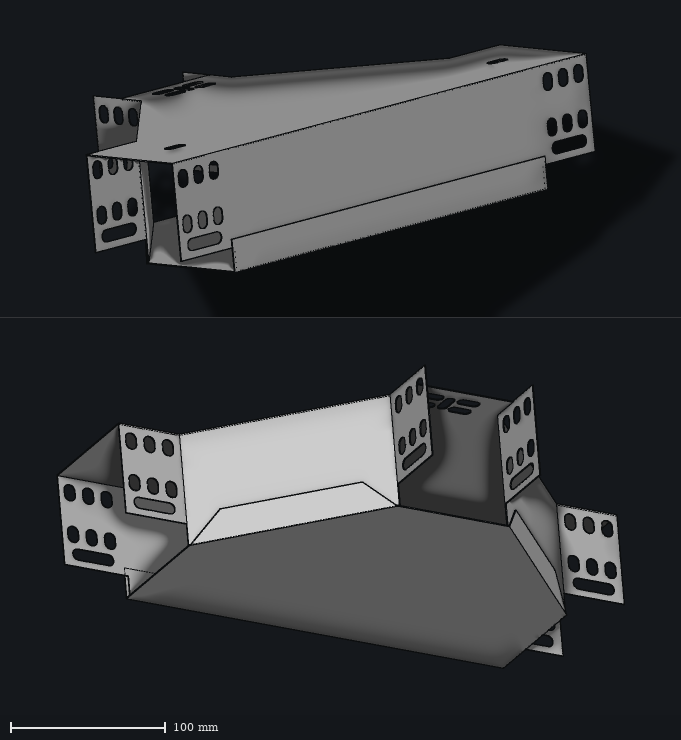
import cadquery as cq
import math


ORIGIN = (53.5, 4.5, 54.5)
SPIN = 36.0
TILT = -34.3
YAW = 30.3

SHEET = 0.8
RUN_LENGTH = 372.0
ARM_WIDTH = 81.0
ARM_LENGTH = 45.3
EAR_DEPTH = 65.0
PLATE_IN_BRANCH = 20.0
DEEP_WALL_SETBACK = 2.0

HALF_RUN = RUN_LENGTH / 2
HALF_BRANCH = ARM_WIDTH / 2
HALF_MIDDLE = HALF_RUN - ARM_LENGTH
BRANCH_START = ARM_WIDTH + HALF_MIDDLE - HALF_BRANCH
BRANCH_END = BRANCH_START + ARM_LENGTH
HALF_DIAGONAL_TURN = math.tan(math.radians(22.5))

COVER_DEPTH = 81.0
LIP_HEIGHT = 22.0
COVER_INSIDE = COVER_DEPTH - SHEET
LIP_TOP = LIP_HEIGHT - COVER_DEPTH
DIAGONAL_SHIFT = SHEET * math.sqrt(2)
DIAGONAL_LIP_ENDS = (
    (HALF_MIDDLE, ARM_WIDTH + DIAGONAL_SHIFT),
    (HALF_BRANCH + DIAGONAL_SHIFT, BRANCH_START),
)

HOLE_WIDTH = 8.0
HOLE_LENGTH = 11.5
HOLE_PITCH = 13.8
ROW_DEPTHS = (11.5, 41.5)
HOLE_GROUP_SETBACK = 22.0
LONG_SLOT_LENGTH = 30.5
LONG_SLOT_WIDTH = 8.0
LONG_SLOT_DEPTH = 55.8

RUN_SLOT_OFFSET = 145.0
PLATE_SLOT_LENGTH = 16.0
PLATE_SLOT_WIDTH = 7.0
SLOT_GROUP_X = 13.5
SLOT_GROUP_Y = 5.8
SLOT_GROUP_SETBACK = 2.0
SLOT_GROUP_CENTER = BRANCH_START + SLOT_GROUP_SETBACK

CLEARANCE = 3.5


def mirrored(points):
    """The points on the other side of the plane of symmetry, in reverse order."""
    return [(-x, y) for x, y in reversed(points)]


def prism(points, bottom, top):
    return cq.Workplane("XY", origin=(0, 0, bottom)).polyline(points).close().extrude(top - bottom)


def block(x_range, y_range, z_range):
    size_x, size_y, size_z = [high - low for low, high in (x_range, y_range, z_range)]
    corner = (x_range[0], y_range[0], z_range[0])
    return cq.Workplane("XY").box(size_x, size_y, size_z, centered=False).translate(corner)



def tee_points(inset, overrun):
    """Tee outline with its walls moved inwards by inset and its arms made longer by overrun."""
    knee = inset * HALF_DIAGONAL_TURN
    half_outline = [
        (HALF_RUN + overrun, inset),
        (HALF_RUN + overrun, ARM_WIDTH - inset),
        (HALF_MIDDLE - knee, ARM_WIDTH - inset),
        (HALF_BRANCH - inset, BRANCH_START - knee),
        (HALF_BRANCH - inset, BRANCH_END + overrun),
    ]
    return half_outline + mirrored(half_outline)


def tray_shell():
    """Plate and walls at full depth, open at the bottom and at the three arm ends."""
    outside = prism(tee_points(0, 0), -COVER_INSIDE, 0)
    inside = prism(tee_points(SHEET, CLEARANCE), -COVER_DEPTH, -SHEET)
    return outside.cut(inside)


def wall_trims():
    """Cuts that leave shallow ears on the arms and free the ends of the deep long wall."""
    below_ears = (-COVER_DEPTH, -EAR_DEPTH)
    arm_span = (-CLEARANCE, ARM_WIDTH + CLEARANCE)
    deep_wall_end = HALF_MIDDLE - DEEP_WALL_SETBACK
    branch_span = (-HALF_BRANCH - CLEARANCE, HALF_BRANCH + CLEARANCE)
    trims = block(branch_span, (BRANCH_START, BRANCH_END + CLEARANCE), below_ears)
    for side in (-1, 1):
        arm = sorted((side * HALF_MIDDLE, side * (HALF_RUN + CLEARANCE)))
        relief = sorted((side * deep_wall_end, side * HALF_MIDDLE))
        trims = trims.union(block(arm, arm_span, below_ears))
        trims = trims.union(block(relief, (-CLEARANCE, SHEET), below_ears))
    return trims


def plate_trim():
    """Cut that ends the plate part-way into the branch arm, between its ears."""
    half_gap = HALF_BRANCH - SHEET
    y_range = (BRANCH_START + PLATE_IN_BRANCH, BRANCH_END + CLEARANCE)
    return block((-half_gap, half_gap), y_range, (-SHEET, CLEARANCE))


def ear_holes(wall_plane, cut_length):
    """Two rows of upright holes over one long slot; the plane's x points to the arm's free end."""
    columns = [-HOLE_GROUP_SETBACK + step * HOLE_PITCH for step in (-1, 0, 1)]
    spots = [(x, -depth) for depth in ROW_DEPTHS for x in columns]
    face = cq.Workplane(wall_plane)
    holes = face.pushPoints(spots).slot2D(HOLE_LENGTH, HOLE_WIDTH, 90).extrude(cut_length)
    long_slot = face.center(-HOLE_GROUP_SETBACK, -LONG_SLOT_DEPTH)
    return holes.union(long_slot.slot2D(LONG_SLOT_LENGTH, LONG_SLOT_WIDTH).extrude(cut_length))


def all_ear_holes():
    """Holes through both ears of every arm, as one group per arm."""
    near_end = cq.Plane((-HALF_RUN, ARM_WIDTH, 0), xDir=(-1, 0, 0), normal=(0, 1, 0))
    far_end = cq.Plane((HALF_RUN, 0, 0), xDir=(1, 0, 0), normal=(0, -1, 0))
    branch_end = cq.Plane((HALF_BRANCH, BRANCH_END, 0), xDir=(0, 1, 0), normal=(1, 0, 0))
    return [ear_holes(plane, -ARM_WIDTH) for plane in (near_end, far_end, branch_end)]


def plate_slots():
    """One slot in each run arm, and four slots around a crosswise one at the branch."""
    run_spots = [(side * RUN_SLOT_OFFSET, HALF_BRANCH) for side in (-1, 1)]
    branch_spots = [
        (side_x * SLOT_GROUP_X, SLOT_GROUP_CENTER + side_y * SLOT_GROUP_Y)
        for side_x in (-1, 1)
        for side_y in (-1, 1)
    ]
    face = cq.Workplane("XY")
    along = face.pushPoints(run_spots + branch_spots)
    along = along.slot2D(PLATE_SLOT_LENGTH, PLATE_SLOT_WIDTH).extrude(-SHEET)
    across = face.center(0, SLOT_GROUP_CENTER)
    across = across.slot2D(PLATE_SLOT_LENGTH, PLATE_SLOT_WIDTH, 90).extrude(-SHEET)
    return along.union(across)


def make_tray():
    tray = tray_shell().cut(wall_trims()).cut(plate_trim()).cut(plate_slots())
    for holes in all_ear_holes():
        tray = tray.cut(holes)
    return tray



def cover_plate():
    half_outline = [(HALF_MIDDLE, -SHEET), *DIAGONAL_LIP_ENDS]
    return prism(half_outline + mirrored(half_outline), -COVER_DEPTH, -COVER_INSIDE)


def long_lip():
    return block((-HALF_MIDDLE, HALF_MIDDLE), (-SHEET, 0), (-COVER_DEPTH, LIP_TOP))


def diagonal_lip():
    """Lip outside one diagonal wall, its ends slanting in at 45 degrees."""
    (x0, y0), (x1, y1) = DIAGONAL_LIP_ENDS
    half_length = math.hypot(x1 - x0, y1 - y0) / 2
    middle = ((x0 + x1) / 2, (y0 + y1) / 2, -COVER_DEPTH)
    outer_face = cq.Plane(middle, xDir=(x1 - x0, y1 - y0, 0), normal=(1, 1, 0))
    half_top = half_length - LIP_HEIGHT
    trapezoid = [
        (-half_length, 0),
        (half_length, 0),
        (half_top, LIP_HEIGHT),
        (-half_top, LIP_HEIGHT),
    ]
    return cq.Workplane(outer_face).polyline(trapezoid).close().extrude(-SHEET)


def make_cover():
    lip = diagonal_lip()
    return cover_plate().union(long_lip()).union(lip).union(lip.mirror("YZ"))


def placed(body):
    """Turn a body from the local axes into its tilted position."""
    turned = body.rotate((0, 0, 0), (0, 0, 1), SPIN)
    turned = turned.rotate((0, 0, 0), (1, 0, 0), TILT)
    turned = turned.rotate((0, 0, 0), (0, 0, 1), YAW)
    return turned.translate(ORIGIN)


tray = placed(make_tray())
cover = placed(make_cover())
result = cq.Compound.makeCompound([tray.val(), cover.val()])